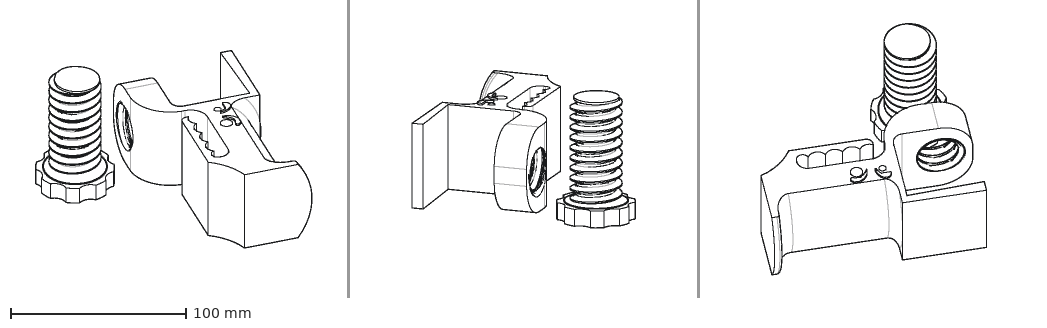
import cadquery as cq
import math

DEPTH = 50.0
MID_Z = DEPTH / 2
LENGTH = 126.0

ARM_THICKNESS = 19.8
ARM_END_RADIUS = 20.0
PLATE_END_X = 2.1
PLATE_TOP_Y = 70.6
PLATE_TIP_Y = 63.8
PLATE_ROOT_Y = 65.6
NECK_INNER_X = 47.3
NECK_OUTER_X = 52.1
NECK_INNER_FILLET = 6.1
HEEL_START_X = 29.1
HEEL_MID = (46.0, 8.2)
HEEL_END_Y = 22.7

SLOT_TOP_Y = 34.8
SLOT_NECK_RADIUS = 10.0
SLOT_END_X = 104.0
SLOT_END_RADIUS = 6.0
GRIP_BOTTOM_Y = 19.6
GRIP_TIP_X = 58.7
GRIP_TIP_Y = 24.7
GRIP_TIP_RADIUS = 3.8
GRIP_CORNER_X = 107.0
FLANK_MID = (115.0, 28.9)
CUSP_Y = 26.5
CUSP_PITCH = 10.0
CUSP_COUNT = 4
FIRST_CUSP_X = 66.9
SCALLOP_DEPTH = 2.9
LAST_SCALLOP_RADIUS = 3.8
LAST_SCALLOP_Y = 27.8

SADDLE_AXIS_Y = 34.6
SADDLE_RADIUS = 30.0
SADDLE_START_X = 51.0
SADDLE_START_FILLET = 6.6
HORN_INNER_X = 121.5
HORN_FILLET = 8.2
HORN_RADIUS = 41.1
HORN_TIP_FILLET = 1.5
SADDLE_CLEAR_RADIUS = 58.5

EYE_Y = 42.9
SMALL_EYE_X = 57.0
SMALL_EYE_DIAMETER = 4.0
LARGE_EYE_X = 72.1
LARGE_EYE_DIAMETER = 7.0
BROW_HEIGHT = 1.0
SMALL_BROW = [
    (None, (53.0, 47.2)),
    ((53.7, 49.8), (56.1, 50.8)),
    (None, (57.6, 50.7)),
    ((60.7, 47.2), (61.6, 43.1)),
    (None, (60.8, 43.1)),
    ((59.9, 45.5), (58.6, 47.2)),
]
LARGE_BROW = [
    (None, (66.1, 42.6)),
    ((67.7, 47.8), (72.0, 50.8)),
    (None, (74.9, 50.8)),
    (None, (76.4, 49.3)),
    ((76.4, 47.7), (75.4, 47.3)),
    ((73.0, 48.0), (70.6, 47.8)),
    ((68.1, 45.4), (66.1, 42.6)),
]

PITCH = 6.0
MAJOR_RADIUS = 15.0
MINOR_RADIUS = 11.5
CREST_ANGLE = 45
ROOT_ANGLE = 90
HOLE_CLEARANCE = 0.9
HOLE_CREST_ANGLE = 230

KNOB_RADIUS = 22.5
KNOB_HEIGHT = 10.0
KNOB_NOTCHES = 8
NOTCH_RADIUS = 7.0
NOTCH_CENTRE_RADIUS = 27.0
COLLAR_RADIUS = 18.5
COLLAR_RIM_HEIGHT = 0.4
CONE_RADIUS = 17.9
CONE_HEIGHT = 2.6
SCREW_LENGTH = 71.0
SCREW_END_LENGTH = 1.3
SCREW_TIP_ANGLE = 15
SCREW_X = 26.1
SCREW_Y = -32.4
SCREW_Z = -2.0


def thread_section(clearance, crest_direction):
    """Cross-section of a single-start thread: root arc, crest arc and two flank arcs."""
    root = MINOR_RADIUS + clearance
    crest = MAJOR_RADIUS + clearance
    half_crest = CREST_ANGLE / 2
    half_root = 180 - ROOT_ANGLE / 2
    middle = (root + crest) / 2
    mid_flank = (half_crest + half_root) / 2

    def point(radius, angle):
        turned = math.radians(crest_direction + angle)
        return (radius * math.cos(turned), radius * math.sin(turned))

    return (
        cq.Workplane("XY")
        .moveTo(*point(crest, -half_crest))
        .threePointArc(point(crest, 0), point(crest, half_crest))
        .threePointArc(point(middle, mid_flank), point(root, half_root))
        .threePointArc(point(root, 180), point(root, -half_root))
        .threePointArc(point(middle, -mid_flank), point(crest, -half_crest))
        .close()
    )


def threaded_rod(length, clearance, end_direction):
    """Right-hand threaded rod from Z = 0 whose crest points in end_direction at its top."""
    twist = 360 * length / PITCH
    return thread_section(clearance, end_direction - twist).twistExtrude(length, twist)


def line_and_round(outline, start, corner, end):
    """Draw a line to start, then a quarter round from start to end that replaces the corner."""
    bevel = 1 - math.sqrt(0.5)
    middle = [c + bevel * (s + e - 2 * c) for s, c, e in zip(start, corner, end)]
    return outline.lineTo(*start).threePointArc(tuple(middle), end)


def bracket_blank():
    """Jaw, grip and uncut saddle as one profile extruded through the depth."""
    blank_top = SADDLE_AXIS_Y + HORN_RADIUS

    outline = (
        cq.Workplane("XY")
        .lineTo(HEEL_START_X, 0)
        .threePointArc(HEEL_MID, (NECK_OUTER_X, HEEL_END_Y))
    )
    outline = line_and_round(
        outline,
        (NECK_OUTER_X, SLOT_TOP_Y - SLOT_NECK_RADIUS),
        (NECK_OUTER_X, SLOT_TOP_Y),
        (NECK_OUTER_X + SLOT_NECK_RADIUS, SLOT_TOP_Y),
    )
    outline = line_and_round(
        outline,
        (SLOT_END_X - SLOT_END_RADIUS, SLOT_TOP_Y),
        (SLOT_END_X, SLOT_TOP_Y),
        (SLOT_END_X, SLOT_TOP_Y - SLOT_END_RADIUS),
    )

    valley_y = CUSP_Y - SCALLOP_DEPTH
    last_cusp_x = FIRST_CUSP_X + (CUSP_COUNT - 1) * CUSP_PITCH
    outline = outline.lineTo(SLOT_END_X, LAST_SCALLOP_Y).threePointArc(
        (SLOT_END_X - LAST_SCALLOP_RADIUS, LAST_SCALLOP_Y - LAST_SCALLOP_RADIUS),
        (last_cusp_x, CUSP_Y),
    )
    for index in reversed(range(CUSP_COUNT - 1)):
        cusp_x = FIRST_CUSP_X + index * CUSP_PITCH
        outline = outline.threePointArc((cusp_x + CUSP_PITCH / 2, valley_y), (cusp_x, CUSP_Y))
    outline = outline.threePointArc(
        (FIRST_CUSP_X - CUSP_PITCH / 2, valley_y), (GRIP_TIP_X, GRIP_TIP_Y)
    )

    outline = line_and_round(
        outline,
        (GRIP_TIP_X, GRIP_BOTTOM_Y + GRIP_TIP_RADIUS),
        (GRIP_TIP_X, GRIP_BOTTOM_Y),
        (GRIP_TIP_X + GRIP_TIP_RADIUS, GRIP_BOTTOM_Y),
    )
    outline = (
        outline.lineTo(GRIP_CORNER_X, GRIP_BOTTOM_Y)
        .threePointArc(FLANK_MID, (LENGTH, SLOT_TOP_Y))
        .lineTo(LENGTH, blank_top)
        .lineTo(SADDLE_START_X, blank_top)
        .lineTo(SADDLE_START_X, PLATE_TOP_Y)
        .lineTo(PLATE_END_X, PLATE_TOP_Y)
        .lineTo(PLATE_END_X, PLATE_TIP_Y)
        .lineTo(NECK_INNER_X, PLATE_ROOT_Y)
    )
    outline = line_and_round(
        outline,
        (NECK_INNER_X, ARM_THICKNESS + NECK_INNER_FILLET),
        (NECK_INNER_X, ARM_THICKNESS),
        (NECK_INNER_X - NECK_INNER_FILLET, ARM_THICKNESS),
    )
    return outline.lineTo(0, ARM_THICKNESS).close().extrude(DEPTH)


def saddle_cutter():
    """Half ring that hollows the headband saddle and rounds the horn."""
    profile = cq.Workplane("XY", origin=(0, SADDLE_AXIS_Y, MID_Z)).moveTo(
        SADDLE_START_X, SADDLE_CLEAR_RADIUS
    )
    profile = line_and_round(
        profile,
        (SADDLE_START_X, SADDLE_RADIUS + SADDLE_START_FILLET),
        (SADDLE_START_X, SADDLE_RADIUS),
        (SADDLE_START_X + SADDLE_START_FILLET, SADDLE_RADIUS),
    )
    profile = line_and_round(
        profile,
        (HORN_INNER_X - HORN_FILLET, SADDLE_RADIUS),
        (HORN_INNER_X, SADDLE_RADIUS),
        (HORN_INNER_X, SADDLE_RADIUS + HORN_FILLET),
    )
    profile = line_and_round(
        profile,
        (HORN_INNER_X, HORN_RADIUS - HORN_TIP_FILLET),
        (HORN_INNER_X, HORN_RADIUS),
        (HORN_INNER_X + HORN_TIP_FILLET, HORN_RADIUS),
    )
    half_turn = 180
    return (
        profile.lineTo(LENGTH, HORN_RADIUS)
        .lineTo(LENGTH, SADDLE_CLEAR_RADIUS)
        .close()
        .revolve(half_turn, (0, 0, 0), (1, 0, 0))
        .rotate((0, SADDLE_AXIS_Y, MID_Z), (1, SADDLE_AXIS_Y, MID_Z), -half_turn / 2)
    )


def brow(path):
    """Raised eyebrow on the top face."""
    outline = cq.Workplane("XY", origin=(0, 0, DEPTH)).moveTo(*path[0][1])
    for middle, end in path[1:]:
        if middle is None:
            outline = outline.lineTo(*end)
        else:
            outline = outline.threePointArc(middle, end)
    return outline.close().extrude(BROW_HEIGHT)


def eye_hole(x, diameter):
    return cq.Workplane("XY").center(x, EYE_Y).circle(diameter / 2).extrude(DEPTH)


def make_bracket():
    bracket = bracket_blank()
    bracket = bracket.edges("|Y").edges("<X").fillet(ARM_END_RADIUS)
    bracket = bracket.cut(saddle_cutter())
    bracket = bracket.cut(eye_hole(SMALL_EYE_X, SMALL_EYE_DIAMETER))
    bracket = bracket.cut(eye_hole(LARGE_EYE_X, LARGE_EYE_DIAMETER))
    bracket = bracket.union(brow(SMALL_BROW)).union(brow(LARGE_BROW))
    tap = (
        threaded_rod(ARM_THICKNESS + 2 * PITCH, HOLE_CLEARANCE, HOLE_CREST_ANGLE)
        .rotate((0, 0, 0), (1, 0, 0), 90)
        .translate((ARM_END_RADIUS, ARM_THICKNESS + PITCH, MID_Z))
    )
    return bracket.cut(tap)


def make_screw():
    knob = (
        cq.Workplane("XY")
        .circle(KNOB_RADIUS)
        .extrude(KNOB_HEIGHT)
        .cut(
            cq.Workplane("XY")
            .polarArray(NOTCH_CENTRE_RADIUS, 0, 360, KNOB_NOTCHES)
            .circle(NOTCH_RADIUS)
            .extrude(KNOB_HEIGHT)
        )
    )
    collar = cq.Workplane("XY").circle(COLLAR_RADIUS).extrude(KNOB_HEIGHT + COLLAR_RIM_HEIGHT)
    cone = cq.Solid.makeCone(
        CONE_RADIUS,
        MINOR_RADIUS,
        CONE_HEIGHT,
        pnt=cq.Vector(0, 0, KNOB_HEIGHT + COLLAR_RIM_HEIGHT),
    )
    thread_length = SCREW_LENGTH - KNOB_HEIGHT - SCREW_END_LENGTH
    thread = threaded_rod(thread_length, 0, SCREW_TIP_ANGLE).translate((0, 0, KNOB_HEIGHT))
    tip = (
        thread_section(0, SCREW_TIP_ANGLE)
        .extrude(SCREW_END_LENGTH)
        .translate((0, 0, SCREW_LENGTH - SCREW_END_LENGTH))
    )
    head = knob.union(collar).union(cq.Workplane(cone))
    shank = thread.union(tip, glue=True)
    return head.union(shank)


bracket = make_bracket()
screw = make_screw().translate((SCREW_X, SCREW_Y, SCREW_Z))

result = cq.Compound.makeCompound([bracket.val(), screw.val()])